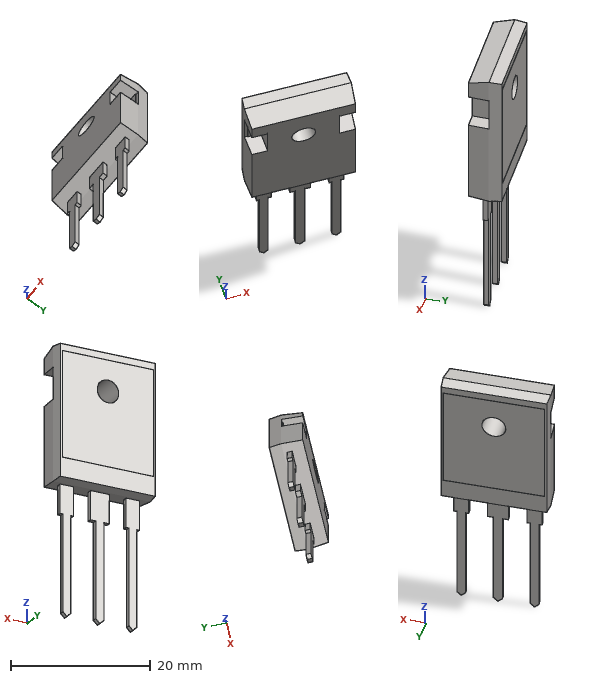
import cadquery as cq

housing_width = 16.0
housing_height = 21.05
parting_y = 3.1
housing_back_y = 4.95
front_inset = 0.25
front_top_inset = 0.8
back_inset = 0.15

notch_top_drop = 3.25
notch_height = 4.95
notch_front_depth = 2.6
notch_floor_depth = 2.4

hole_diameter = 3.5
hole_z = housing_height - 6.13

total_depth = 5.0
tab_front_y = 3.0
tab_side_margin = 0.5
tab_top_margin = 1.25
tab_bottom_margin = 3.2
tab_width = housing_width - 2 * tab_side_margin
tab_height = housing_height - tab_top_margin - tab_bottom_margin

lead_pitch = 5.42
lead_front_y = 1.85
lead_thickness = 0.75
lead_back_y = lead_front_y + lead_thickness
lead_top = front_inset * (parting_y - lead_back_y) / parting_y
total_height = 41.4
lead_length = total_height - housing_height
shoulder_length = 4.5
tip_length = 0.62
outer_shoulder_width = 2.25
outer_shaft_width = 1.3
middle_shoulder_width = 3.1
middle_shaft_width = 1.35


def face_rectangle(y, side_inset, bottom_inset, top_inset):
    """Rectangular wire at depth y, inset from the parting outline."""
    half = housing_width / 2 - side_inset
    top = housing_height - top_inset
    corners = [(-half, bottom_inset), (half, bottom_inset), (half, top), (-half, top)]
    return cq.Wire.makePolygon([cq.Vector(x, y, z) for x, z in corners], close=True)


def make_housing_shell():
    """Two drafted halves meeting at the parting line."""
    front = face_rectangle(0, front_inset, front_inset, front_top_inset)
    parting = face_rectangle(parting_y, 0, 0, 0)
    back = face_rectangle(housing_back_y, back_inset, back_inset, back_inset)
    front_half = cq.Solid.makeLoft([front, parting], True)
    back_half = cq.Solid.makeLoft([parting, back], True)
    return cq.Workplane(obj=front_half).union(cq.Workplane(obj=back_half))


def make_right_notch():
    """Cutter for the +X notch, with its inner wall drafted."""
    half = housing_width / 2
    outline = [
        (half, 0),
        (half - notch_front_depth, 0),
        (half - notch_floor_depth, parting_y),
        (half, parting_y),
    ]
    notch_bottom = housing_height - notch_top_drop - notch_height
    return cq.Workplane("XY").workplane(offset=notch_bottom).polyline(outline).close().extrude(notch_height)


def make_mounting_hole():
    axis = cq.Vector(0, 1, 0)
    start = cq.Vector(0, 0, hole_z)
    return cq.Workplane(obj=cq.Solid.makeCylinder(hole_diameter / 2, total_depth, start, axis))


def make_lead(x, shoulder_width, shaft_width):
    """Flat lead with a wide shoulder, a narrow shaft and a pointed tip."""
    shoulder = shoulder_width / 2
    shaft = shaft_width / 2
    right_side = [
        (shoulder, lead_top),
        (shoulder, -shoulder_length),
        (shaft, -shoulder_length),
        (shaft, tip_length - lead_length),
    ]
    left_side = [(-px, pz) for px, pz in reversed(right_side)]
    outline = right_side + [(0, -lead_length)] + left_side
    lead = cq.Workplane("XZ").polyline(outline).close().extrude(lead_thickness)
    return lead.translate((x, lead_back_y, 0))


def make_tab():
    """Flat heat-sink tab, showing at the notch floors and standing proud of the back."""
    thickness = total_depth - tab_front_y
    tab = cq.Workplane("XY").box(tab_width, thickness, tab_height, centered=(True, False, False))
    return tab.translate((0, tab_front_y, tab_bottom_margin))


def make_housing():
    """Housing with notches, the built-in tab and a hole through everything."""
    right_notch = make_right_notch()
    notched = make_housing_shell().cut(right_notch).cut(right_notch.mirror("YZ"))
    return notched.union(make_tab()).cut(make_mounting_hole())


housing = make_housing()
leads = []
for position in (-1, 0, 1):
    shoulder_width = middle_shoulder_width if position == 0 else outer_shoulder_width
    shaft_width = middle_shaft_width if position == 0 else outer_shaft_width
    leads.append(make_lead(position * lead_pitch, shoulder_width, shaft_width))

result = cq.Compound.makeCompound([*housing.solids().vals(), *[lead.val() for lead in leads]])